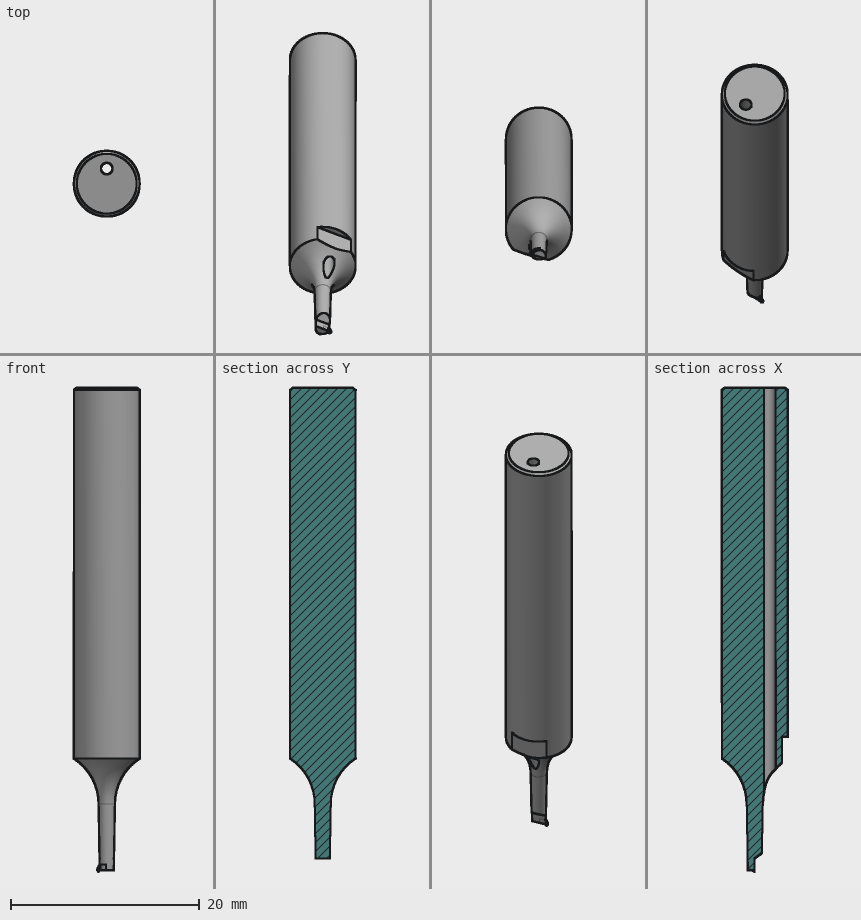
import cadquery as cq
import math


total_length = 51.3
shank_radius = 3.5
shank_start_z = 12.0
end_chamfer_inset = 0.33
end_chamfer_height = 0.25

neck_top_radius = 0.88
neck_tip_radius = 0.76
neck_top_z = 7.2
neck_bottom_z = 0.15

flat_y = 2.9
flat_top_z = 14.3

coolant_hole_diameter = 1.2
coolant_hole_y = 1.6

rake_face_top_z = 1.4
rake_runout_angle = 37

tooth_root_z = 0.75
tooth_root_x = -0.1
tooth_depth = 0.2
tooth_clearance_angle = 15
relief_radius = 0.69
tooth_side_x = -1.05
tooth_side_z = 0.22
tooth_point_x = -0.88
tooth_shoulder_x = -0.8


def make_body():
    """Shank, flare and neck turned about the Z axis."""
    flare_width = shank_radius - neck_top_radius
    flare_height = shank_start_z - neck_top_z
    flare_sweep = 2 * math.atan2(flare_width, flare_height)
    flare_radius = flare_height / math.sin(flare_sweep)
    half_sweep = flare_sweep / 2
    flare_mid_radius = neck_top_radius + flare_radius * (1 - math.cos(half_sweep))
    flare_mid_z = neck_top_z + flare_radius * math.sin(half_sweep)
    return (
        cq.Workplane("XZ")
        .moveTo(0, neck_bottom_z)
        .lineTo(neck_tip_radius, neck_bottom_z)
        .lineTo(neck_top_radius, neck_top_z)
        .threePointArc((flare_mid_radius, flare_mid_z), (shank_radius, shank_start_z))
        .lineTo(shank_radius, total_length - end_chamfer_height)
        .lineTo(shank_radius - end_chamfer_inset, total_length)
        .lineTo(0, total_length)
        .close()
        .revolve(360, (0, 0, 0), (0, 1, 0))
    )


def make_flat_cut():
    """Block that leaves the clamping flat on the lower end of the shank."""
    return cq.Workplane("XY").box(
        2 * shank_radius, shank_radius, flat_top_z, centered=(True, False, False)
    ).translate((0, flat_y, 0))


def make_coolant_hole():
    return (
        cq.Workplane("XY")
        .center(0, coolant_hole_y)
        .circle(coolant_hole_diameter / 2)
        .extrude(total_length)
    )


def make_rake_cut():
    """Wedge that removes the +Y half of the neck tip."""
    cut_width = 2 * neck_top_radius
    runout_rise = cut_width * math.tan(math.radians(rake_runout_angle))
    return (
        cq.Workplane("YZ")
        .polyline([
            (0, 0),
            (cut_width, 0),
            (cut_width, rake_face_top_z + runout_rise),
            (0, rake_face_top_z),
        ])
        .close()
        .extrude(cut_width, both=True)
    )


def make_relief_cut():
    """Cut around the -X side of the tip, down to a smaller round core."""
    block_size = 2 * neck_top_radius
    block = cq.Workplane("XY").box(
        block_size, block_size, tooth_root_z, centered=(False, True, False)
    ).translate((tooth_root_x - block_size, 0, 0))
    core = cq.Workplane("XY").circle(relief_radius).extrude(tooth_root_z)
    return block.cut(core)


def make_tooth():
    """Pointed tooth that narrows behind the rake face for clearance."""
    return (
        cq.Workplane("XZ")
        .polyline([
            (tooth_root_x, neck_bottom_z),
            (tooth_shoulder_x, neck_bottom_z),
            (tooth_point_x, 0),
            (tooth_side_x, tooth_side_z),
            (-neck_tip_radius, tooth_root_z),
            (tooth_root_x, tooth_root_z),
        ])
        .close()
        .extrude(tooth_depth, taper=tooth_clearance_angle)
    )


result = (
    make_body()
    .cut(make_flat_cut())
    .cut(make_coolant_hole())
    .cut(make_rake_cut())
    .cut(make_relief_cut())
    .union(make_tooth())
)